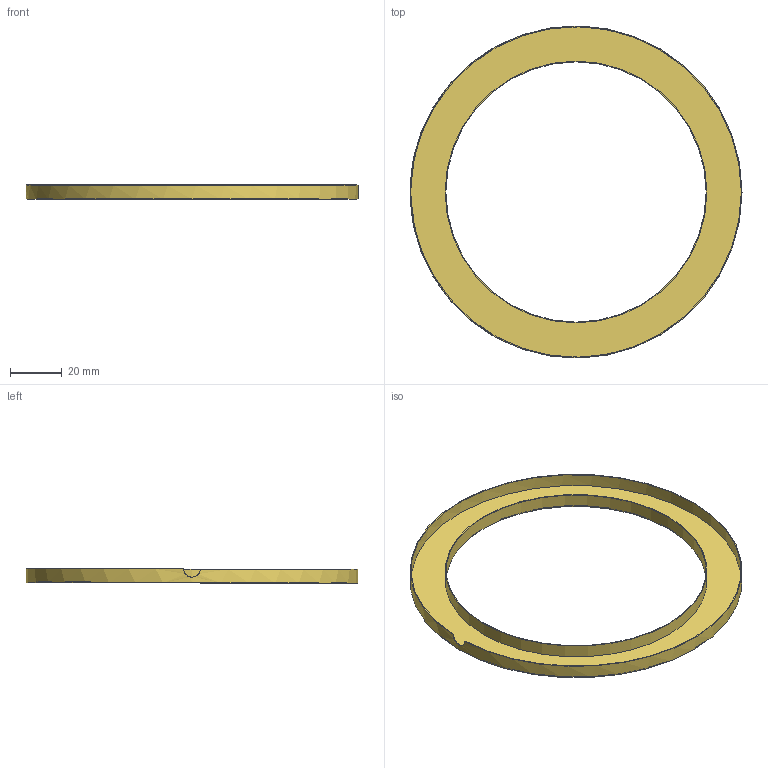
import cadquery as cq

outer_diameter = 128.08
inner_diameter = 100.42
ring_height = 5.386
shell_thickness = 0.28
notch_radius = 3.15
tilt_angle = 0.145

outer_radius = outer_diameter / 2
inner_radius = inner_diameter / 2
channel_outer_radius = outer_radius - shell_thickness
channel_inner_radius = inner_radius + shell_thickness
channel_depth = ring_height - shell_thickness


def annulus(large_radius, small_radius, bottom, thickness):
    """Flat ring about the Z axis, rising from the given level."""
    plane = cq.Workplane("XY", origin=(0, 0, bottom))
    return plane.circle(large_radius).circle(small_radius).extrude(thickness)


def channel_ring():
    """Ring with a U-shaped section: a thin floor between two thin upright walls."""
    body = annulus(outer_radius, inner_radius, 0, ring_height)
    channel = annulus(channel_outer_radius, channel_inner_radius, shell_thickness, channel_depth)
    return body.cut(channel)


def rim_notch():
    """Half-round cutter along X, centred on the top edge of the outer wall at -X.

    It ends inside the channel, so the inner wall stays whole.
    """
    channel_middle_radius = (channel_outer_radius + channel_inner_radius) / 2
    plane = cq.Workplane("YZ", origin=(-outer_radius, 0, ring_height))
    return plane.circle(notch_radius).extrude(outer_radius - channel_middle_radius)


upright_ring = channel_ring().cut(rim_notch())
result = upright_ring.rotate((0, 0, 0), (1, 0, 0), tilt_angle)